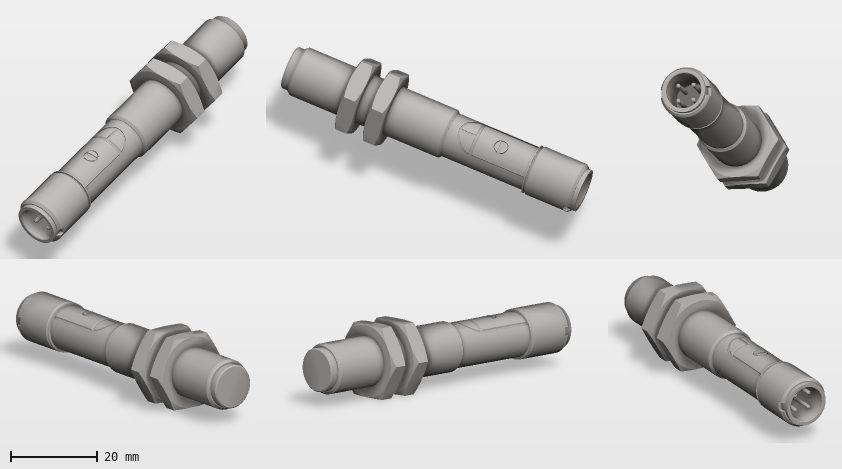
import cadquery as cq
import math

TOTAL_LENGTH = 75.0
REAR_END = TOTAL_LENGTH / 2
FRONT_END = -TOTAL_LENGTH / 2

BARREL_DIA = 12.0
BARREL_END_DIA = 10.95
FACE_DIA = 10.35
FACE_CHAMFER = 0.3
BARREL_REAR = 35.55
BARREL_REAR_CHAMFER = 0.6
BARREL_FRONT = -3.45
BARREL_FRONT_CHAMFER = 0.6

NECK_DIA = 10.7

FLANGE_DIA = 11.85
FLANGE_REAR = -24.3
FLANGE_THICKNESS = 0.2
GROOVE_WIDTH = 0.15

PLUG_REAR = FLANGE_REAR - FLANGE_THICKNESS - GROOVE_WIDTH
PLUG_FRONT = -36.45
PLUG_REAR_CHAMFER = 0.5
PLUG_FRONT_CHAMFER = 0.7
NOSE_DIA = 10.35
NOTCH_WIDTH = 2.1
NOTCH_REAR = -34.9

SOCKET_DIA = 8.4
SOCKET_DEPTH = 10.5
SOCKET_LEAD_IN = 0.15
INSERT_HEIGHT = 1.5
INSERT_HALF_WIDTH = 4.0
INSERT_TOP = 3.2
INSERT_STEP = 0.3
KEY_WIDTH = 1.1
PIN_DIA = 1.0
PIN_OFFSET = 1.8
PIN_LENGTH = 7.1
PIN_CHAMFER = 0.2

WINDOW_FLOOR_DIA = 10.3
WINDOW_RADIUS = 4.5
PANEL_RADIUS = 4.0
WINDOW_ARCH_CENTRE = -10.3
CROSS_CENTRE = -10.3
CROSS_FLOOR_WIDTH = 0.45
CROSS_TOP_WIDTH = 0.9
LENS_GAP = 0.7

SCREW_CENTRE = -16.4
SCREW_HOLE_DIA = 3.45
SCREW_HOLE_FLOOR = 4.7
SCREW_DIA = 3.0
SCREW_TOP = 5.3
SCREW_SLOT_WIDTH = 0.9

NUT_ACROSS_FLATS = 17.0
NUT_THICKNESS = 4.0
NUT_CHAMFER_HEIGHT = 0.6
NUT_CENTRES = (13.0, 20.0)


def rod(diameter, rear, length):
    """Cylinder on the Y axis that runs from its rear station toward the front."""
    return cq.Workplane("XZ", origin=(0, rear, 0)).circle(diameter / 2).extrude(length)


def block(x_size, y_rear, y_front, z_low, z_high):
    """Box between two stations, centred across X."""
    return (
        cq.Workplane("XY", origin=(0, (y_rear + y_front) / 2, z_low))
        .rect(x_size, y_rear - y_front)
        .extrude(z_high - z_low)
    )


def outer_form():
    """Turned outside of the sensor, revolved about the Y axis."""
    barrel, barrel_end, neck = BARREL_DIA / 2, BARREL_END_DIA / 2, NECK_DIA / 2
    face, flange, nose = FACE_DIA / 2, FLANGE_DIA / 2, NOSE_DIA / 2
    flange_front = FLANGE_REAR - FLANGE_THICKNESS
    profile = [
        (0, REAR_END),
        (face - FACE_CHAMFER, REAR_END),
        (face, REAR_END - FACE_CHAMFER),
        (face, BARREL_REAR),
        (barrel_end, BARREL_REAR),
        (barrel, BARREL_REAR - BARREL_REAR_CHAMFER),
        (barrel, BARREL_FRONT + BARREL_FRONT_CHAMFER),
        (barrel_end, BARREL_FRONT),
        (neck, BARREL_FRONT),
        (neck, FLANGE_REAR),
        (flange, FLANGE_REAR),
        (flange, flange_front),
        (barrel_end, flange_front),
        (barrel_end, PLUG_REAR),
        (barrel, PLUG_REAR - PLUG_REAR_CHAMFER),
        (barrel, PLUG_FRONT + PLUG_FRONT_CHAMFER),
        (barrel_end, PLUG_FRONT),
        (nose, PLUG_FRONT),
        (nose, FRONT_END),
        (0, FRONT_END),
    ]
    return cq.Workplane("XY").polyline(profile).close().revolve(360, (0, 0, 0), (0, 1, 0))


def arch_prism(radius):
    """Upright prism with a round rear end that reaches forward to the flange."""
    return (
        cq.Workplane("XY")
        .moveTo(-radius, FLANGE_REAR)
        .lineTo(-radius, WINDOW_ARCH_CENTRE)
        .threePointArc((0, WINDOW_ARCH_CENTRE + radius), (radius, WINDOW_ARCH_CENTRE))
        .lineTo(radius, FLANGE_REAR)
        .close()
        .extrude(NECK_DIA)
    )


def cross_groove():
    """Groove with sloped walls, turned about the Y axis, that parts the lenses from the panel."""
    top, floor = NECK_DIA / 2, WINDOW_FLOOR_DIA / 2
    half_top, half_floor = CROSS_TOP_WIDTH / 2, CROSS_FLOOR_WIDTH / 2
    ring = (
        cq.Workplane("XY", origin=(0, CROSS_CENTRE, 0))
        .polyline([(floor, -half_floor), (top, -half_top), (top, half_top), (floor, half_floor)])
        .close()
        .revolve(360, (0, 0, 0), (0, 1, 0))
    )
    return ring.intersect(arch_prism(PANEL_RADIUS))


def window_channels():
    """Border, cross groove and centre channel around the lenses and the panel."""
    rear = WINDOW_ARCH_CENTRE + WINDOW_RADIUS
    border = arch_prism(WINDOW_RADIUS).cut(arch_prism(PANEL_RADIUS))
    border_middle = rear - (WINDOW_RADIUS - PANEL_RADIUS) / 2
    centre = block(LENS_GAP, border_middle, CROSS_CENTRE, 0, NECK_DIA)
    floor = rod(WINDOW_FLOOR_DIA, REAR_END, TOTAL_LENGTH)
    return border.union(centre).cut(floor).union(cross_groove())


def screw_pocket():
    """Flat-bottomed round hole in the panel."""
    return (
        cq.Workplane("XY", origin=(0, SCREW_CENTRE, SCREW_HOLE_FLOOR))
        .circle(SCREW_HOLE_DIA / 2)
        .extrude(NECK_DIA)
    )


def screw_head():
    """Flat screw head with a slot along X down to the window floor."""
    half_slot = SCREW_SLOT_WIDTH / 2
    head = cq.Workplane("XY", origin=(0, SCREW_CENTRE, 0)).circle(SCREW_DIA / 2).extrude(SCREW_TOP)
    slot = block(SCREW_HOLE_DIA, SCREW_CENTRE + half_slot, SCREW_CENTRE - half_slot, 0, SCREW_TOP)
    return head.cut(slot.cut(rod(WINDOW_FLOOR_DIA, REAR_END, TOTAL_LENGTH)))


def plug_notches():
    """Notches on the +X and -X sides of the plug rim, down to the nose diameter."""
    half = NOTCH_WIDTH / 2
    bar = block(2 * BARREL_DIA, NOTCH_REAR, PLUG_FRONT, -half, half)
    return bar.cut(rod(NOSE_DIA, REAR_END, TOTAL_LENGTH))


def socket():
    """Blind round socket, open at the front, with a small lead-in chamfer."""
    floor = FRONT_END + SOCKET_DEPTH
    lead_in = (
        cq.Workplane("XZ", origin=(0, FRONT_END + SOCKET_LEAD_IN, 0))
        .circle(SOCKET_DIA / 2)
        .workplane(offset=SOCKET_LEAD_IN)
        .circle(SOCKET_DIA / 2 + SOCKET_LEAD_IN)
        .loft()
    )
    return rod(SOCKET_DIA, floor, SOCKET_DEPTH).union(lead_in)


def insert_layer(rear, front, inset):
    """Disc with flat sides and a flat top, set in from the socket wall by the inset."""
    radius = SOCKET_DIA / 2 - inset
    limits = block(2 * (INSERT_HALF_WIDTH - inset), rear, front, -radius, INSERT_TOP - inset)
    return rod(2 * radius, rear, rear - front).intersect(limits)


def contact_insert():
    """Stepped contact carrier on the socket floor, with a key above it and four pins."""
    floor = FRONT_END + SOCKET_DEPTH
    insert_face = floor - INSERT_HEIGHT
    step = insert_face + INSERT_STEP
    carrier = insert_layer(floor, step, 0).union(insert_layer(step, insert_face, INSERT_STEP))
    key = block(KEY_WIDTH, floor, step, 0, SOCKET_DIA / 2)
    pins = (
        cq.Workplane("XZ", origin=(0, insert_face, 0))
        .rect(2 * PIN_OFFSET, 2 * PIN_OFFSET, forConstruction=True)
        .vertices()
        .circle(PIN_DIA / 2)
        .extrude(PIN_LENGTH)
        .faces("<Y")
        .chamfer(PIN_CHAMFER)
    )
    return carrier.union(key).union(pins)


def make_sensor():
    """Complete sensor: barrel, neck with its window and screw, and plug with its contacts."""
    body = outer_form().cut(window_channels())
    body = body.cut(screw_pocket()).union(screw_head())
    body = body.cut(plug_notches()).cut(socket())
    return body.union(contact_insert())


def make_nut(centre):
    """Hexagonal nut with corners on the X axis, chamfered on both end faces."""
    corner = NUT_ACROSS_FLATS / math.sqrt(3)
    flat = NUT_ACROSS_FLATS / 2
    half = NUT_THICKNESS / 2
    rear = centre + half
    hexagon = cq.Workplane("XZ", origin=(0, rear, 0)).polygon(6, 2 * corner).extrude(NUT_THICKNESS)
    envelope = (
        cq.Workplane("XY", origin=(0, centre, 0))
        .polyline([
            (0, half),
            (flat, half),
            (corner, half - NUT_CHAMFER_HEIGHT),
            (corner, NUT_CHAMFER_HEIGHT - half),
            (flat, -half),
            (0, -half),
        ])
        .close()
        .revolve(360, (0, 0, 0), (0, 1, 0))
    )
    return hexagon.intersect(envelope).cut(rod(BARREL_DIA, rear, NUT_THICKNESS))


sensor = make_sensor()
nuts = [make_nut(centre) for centre in NUT_CENTRES]

result = cq.Compound.makeCompound([sensor.solids().val(), *[nut.solids().val() for nut in nuts]])